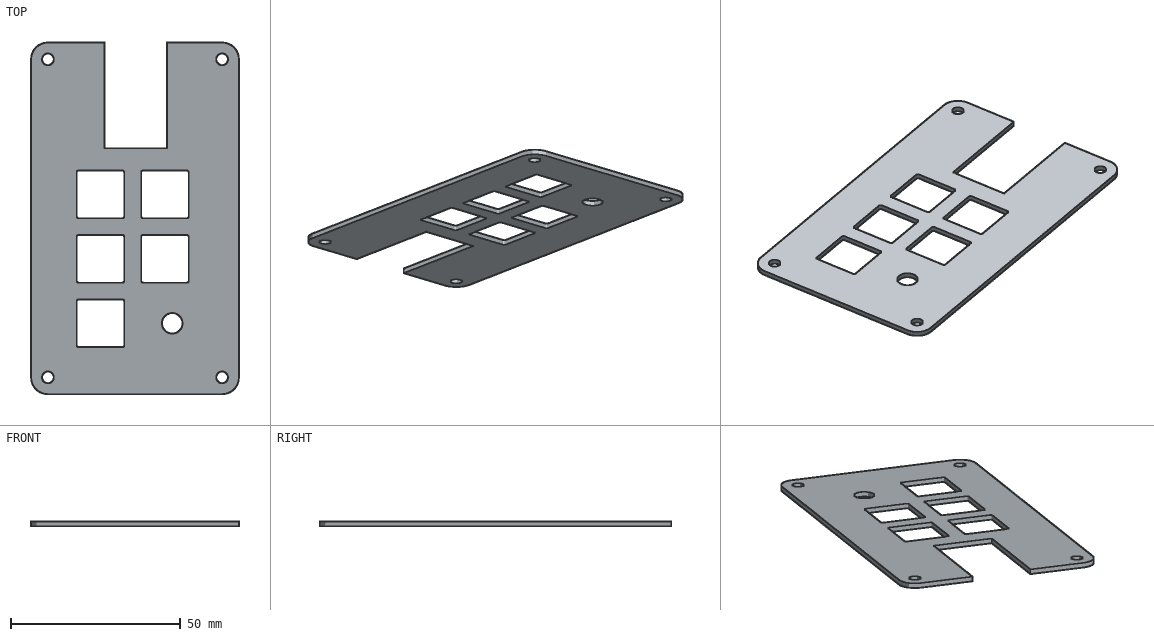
import cadquery as cq

plate_width = 61.48
plate_length = 103.98
plate_thickness = 1.5
corner_radius = 5.0

screw_hole_diameter = 3.4
screw_spacing_x = plate_width - 2 * corner_radius
screw_spacing_y = plate_length - 2 * corner_radius

notch_width = 18.4
notch_depth = 31.2
notch_center_x = 0.2

key_size = 14.0
key_corner_radius = 0.5
key_pitch = 19.05
first_key_x = -10.2
first_key_from_top_edge = 44.9
first_key_y = plate_length / 2 - first_key_from_top_edge
key_cells = [(0, 0), (1, 0), (0, 1), (1, 1), (0, 2)]

round_hole_diameter = 6.0
round_hole_x = 11.0
round_hole_row = 2
round_hole_y = first_key_y - round_hole_row * key_pitch


def make_plate():
    """Flat plate with rounded corners, resting on Z = 0."""
    plate = cq.Workplane("XY").box(
        plate_width, plate_length, plate_thickness, centered=(True, True, False)
    )
    return plate.edges("|Z").fillet(corner_radius)


def cut_screw_holes(plate):
    """Four through holes, one near each corner."""
    return (
        plate.faces(">Z")
        .workplane(origin=(0, 0, 0))
        .rect(screw_spacing_x, screw_spacing_y, forConstruction=True)
        .vertices()
        .hole(screw_hole_diameter)
    )


def cut_notch(plate):
    """Rectangular notch running in from the +Y edge."""
    notch = (
        cq.Workplane("XY")
        .center(notch_center_x, (plate_length - notch_depth) / 2)
        .rect(notch_width, notch_depth)
        .extrude(plate_thickness)
    )
    return plate.cut(notch)


def cut_key_openings(plate):
    """Square through openings with slightly rounded corners."""
    for column, row in key_cells:
        opening = (
            cq.Workplane("XY")
            .center(first_key_x + column * key_pitch, first_key_y - row * key_pitch)
            .rect(key_size, key_size)
            .extrude(plate_thickness)
            .edges("|Z")
            .fillet(key_corner_radius)
        )
        plate = plate.cut(opening)
    return plate


def cut_round_hole(plate):
    """Round through hole level with the lowest key."""
    return (
        plate.faces(">Z")
        .workplane(origin=(0, 0, 0))
        .center(round_hole_x, round_hole_y)
        .hole(round_hole_diameter)
    )


result = make_plate()
result = cut_screw_holes(result)
result = cut_notch(result)
result = cut_key_openings(result)
result = cut_round_hole(result)